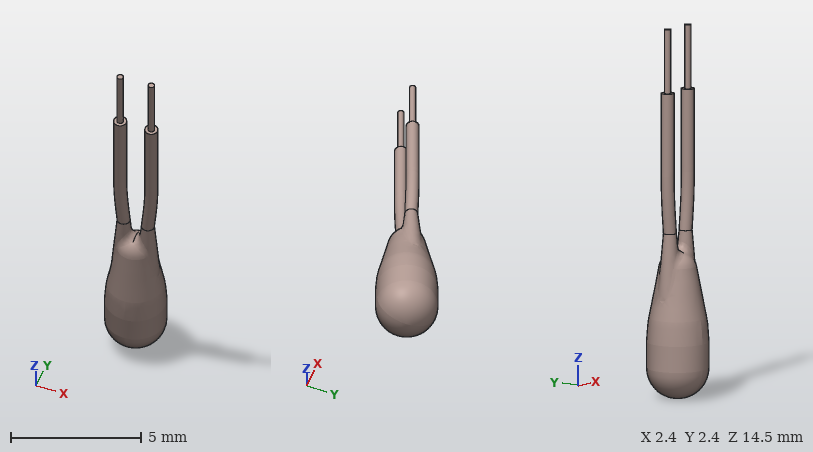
import cadquery as cq
import math

total_height = 14.5
insulation_top = 12.0
upper_joint = 9.03
bend_top = 8.77
bend_bottom = 7.2
collar_top = 6.51

bead_radius = 1.2
bead_cylinder_top = 2.22
blend_top = 3.16
taper_top = 5.16
taper_angle = math.radians(11)

lead_offset = 0.64
insulation_radius = 0.254
wire_radius = 0.125
bend_angle = math.radians(5.5)

collar_bottom = 3.62
collar_angle = math.radians(5)
collar_fillet = 0.36

bend_radius = (bend_top - bend_bottom) / math.sin(bend_angle)
half_bend = bend_angle / 2
bend_mid = (
    -lead_offset + bend_radius * (1 - math.cos(half_bend)),
    bend_top - bend_radius * math.sin(half_bend),
)
bend_end_x = -lead_offset + bend_radius * (1 - math.cos(bend_angle))
collar_x = bend_end_x + (bend_bottom - collar_top) * math.tan(bend_angle)


def make_bead():
    blend_radius = (blend_top - bead_cylinder_top) / math.sin(taper_angle)

    def blend_point(angle):
        inset = blend_radius * (1 - math.cos(angle))
        return bead_radius - inset, bead_cylinder_top + blend_radius * math.sin(angle)

    blend_end = blend_point(taper_angle)
    tip_base = blend_end[0] - (taper_top - blend_top) * math.tan(taper_angle)

    tip_radius = tip_base / math.cos(taper_angle)
    tip_center = taper_top - tip_base * math.tan(taper_angle)
    tip_mid_angle = (math.pi / 2 + taper_angle) / 2
    tip_mid = (
        tip_radius * math.cos(tip_mid_angle),
        tip_center + tip_radius * math.sin(tip_mid_angle),
    )
    diagonal = bead_radius * math.sqrt(0.5)
    return (
        cq.Workplane("XZ")
        .moveTo(0, 0)
        .threePointArc((diagonal, bead_radius - diagonal), (bead_radius, bead_radius))
        .lineTo(bead_radius, bead_cylinder_top)
        .threePointArc(blend_point(taper_angle / 2), blend_end)
        .lineTo(tip_base, taper_top)
        .threePointArc(tip_mid, (0, tip_center + tip_radius))
        .close()
        .revolve(360, (0, 0), (0, 1))
    )


def make_collar():
    length = collar_top - collar_bottom
    base_radius = insulation_radius + length * math.tan(collar_angle)
    cone = cq.Solid.makeCone(
        base_radius, insulation_radius, length, cq.Vector(collar_x, 0, collar_bottom)
    )
    return cq.Workplane(obj=cone)


def cylinder(radius, bottom, top):
    return (
        cq.Workplane("XY", origin=(-lead_offset, 0, bottom))
        .circle(radius)
        .extrude(top - bottom)
    )


def make_lead():
    overrun = 2 * insulation_radius * math.tan(bend_angle)
    end_z = collar_top - overrun
    end_x = collar_x + overrun * math.tan(bend_angle)
    path = (
        cq.Workplane("XZ")
        .moveTo(-lead_offset, bend_top)
        .threePointArc(bend_mid, (bend_end_x, bend_bottom))
        .lineTo(end_x, end_z)
    )
    bend_start = cq.Workplane("XY", origin=(-lead_offset, 0, bend_top))
    bend = bend_start.circle(insulation_radius).sweep(path)
    trim_plane = cq.Workplane("XY", origin=(0, 0, collar_top))
    trim = trim_plane.rect(total_height, total_height).extrude(-total_height)
    return (
        bend.cut(trim)
        .union(cylinder(insulation_radius, bend_top, upper_joint), clean=False)
        .union(cylinder(insulation_radius, upper_joint, insulation_top), clean=False)
        .union(cylinder(wire_radius, insulation_top, total_height), clean=False)
    )


bead = make_bead()
joined = bead.union(make_collar(), clean=False)
seam_box = cq.selectors.BoxSelector(
    (-bead_radius, -bead_radius, collar_bottom),
    (bead_radius, bead_radius, collar_top - insulation_radius),
    boundingbox=True,
)
seam = joined.edges(seam_box).edges("not %CIRCLE")
blended = seam.fillet(collar_fillet)
left_space = cq.Workplane("XY").box(
    total_height, total_height, total_height, centered=(False, True, False)
).translate((-total_height, 0, 0))
left_half = blended.intersect(left_space).union(make_lead(), clean=False)
bead_with_leads = left_half.union(left_half.mirror("YZ"), clean=False)
result = bead_with_leads.clean()